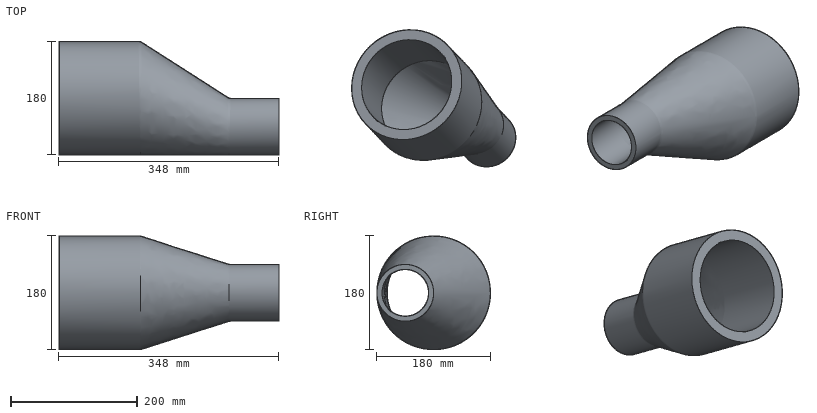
import cadquery as cq

total_length = 348.0
large_length = 128.5
small_length = 79.0
large_outer_diameter = 180.0
large_bore_diameter = 147.2
small_outer_diameter = 90.0
small_bore_diameter = 73.6
blend_radius = 8.5

cone_start = large_length
cone_end = total_length - small_length
small_axis_y = (small_outer_diameter - large_outer_diameter) / 2


def stepped_core(large_diameter, small_diameter):
    """Large cylinder, slanted cone and offset small cylinder joined end to end."""
    large_end = cq.Workplane("YZ").circle(large_diameter / 2).extrude(cone_start)
    cone = (
        cq.Workplane("YZ", origin=(cone_start, 0, 0))
        .circle(large_diameter / 2)
        .workplane(offset=cone_end - cone_start)
        .center(small_axis_y, 0)
        .circle(small_diameter / 2)
        .loft(ruled=True)
    )
    small_end = (
        cq.Workplane("YZ", origin=(cone_end, small_axis_y, 0))
        .circle(small_diameter / 2)
        .extrude(small_length)
    )
    return large_end.union(cone).union(small_end)


def seam_at(x):
    """Selector for the circular edge where the cone meets a pipe end."""
    tolerance = 1.0
    reach = large_outer_diameter
    return cq.selectors.BoxSelector(
        (x - tolerance, -reach, -reach), (x + tolerance, reach, reach)
    )


outside = stepped_core(large_outer_diameter, small_outer_diameter)
for seam_x in (cone_start, cone_end):
    outside = outside.edges(seam_at(seam_x)).fillet(blend_radius)

bore = stepped_core(large_bore_diameter, small_bore_diameter)
result = outside.cut(bore)